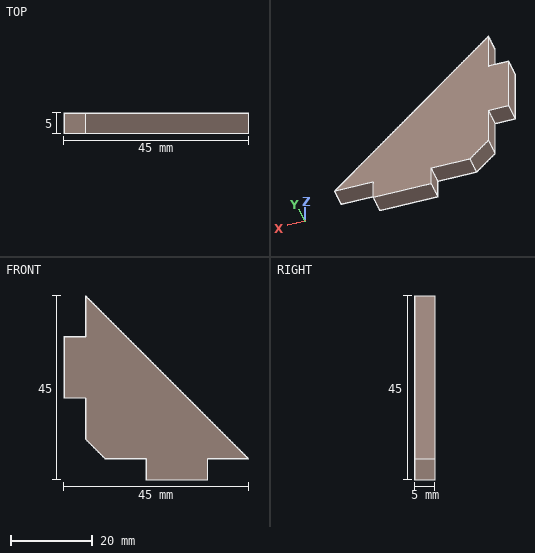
import cadquery as cq

overall_size = 45.0
thickness = 5.0
tab_depth = 5.2
tab_length = 15.0
tip_to_tab = 10.0
tab_to_chamfer = 10.0

leg_length = overall_size - tab_depth
tab_far = leg_length - tip_to_tab
tab_near = tab_far - tab_length
corner_chamfer = tab_near - tab_to_chamfer


def triangular_plate():
    """Right-angled gusset in the XZ plane with its square corner cut off."""
    return (
        cq.Workplane("XZ")
        .moveTo(corner_chamfer, 0)
        .lineTo(leg_length, 0)
        .lineTo(0, leg_length)
        .lineTo(0, corner_chamfer)
        .close()
        .extrude(-thickness)
    )


def tab_below_horizontal_leg():
    """Tab standing out along -Z from the leg that runs along X."""
    return cq.Workplane("XY").box(tab_length, thickness, tab_depth, centered=False).translate(
        (tab_near, 0, -tab_depth)
    )


def tab_beside_vertical_leg():
    """Tab standing out along -X from the leg that runs along Z."""
    return cq.Workplane("XY").box(tab_depth, thickness, tab_length, centered=False).translate(
        (-tab_depth, 0, tab_near)
    )


result = triangular_plate().union(tab_below_horizontal_leg()).union(tab_beside_vertical_leg())